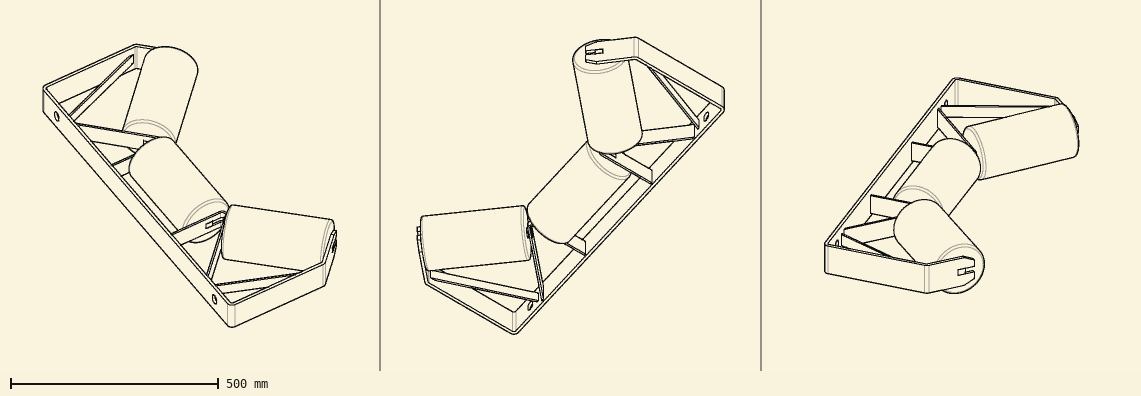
import cadquery as cq
import math

FRAME_LENGTH = 860.0
FRAME_HEIGHT = 77.0
FRAME_THICKNESS = 8.0
BEND_RADIUS = 14.0
WALL_CORNER_Y = 269.0
END_PLATE_LENGTH = 125.0
TIP_CHAMFER_LENGTH = 27.0
TIP_CHAMFER_HEIGHT = 13.0

MOUNT_SLOT_X = 358.0
MOUNT_SLOT_WIDTH = 18.0
MOUNT_SLOT_HEIGHT = 27.0

BAR_THICKNESS = 5.0
BRACKET_HEIGHT = 50.0
BRACKET_TOP_Y = 168.5
BRACKET_LEG_X = 132.5
BRACKET_FOOT_X = 310.5
BRACKET_BEND_RADIUS = 14.0
STRUT_HEIGHT = 30.0
STRUT_WALL_Y = 259.0
STRUT_FOOT_X = 324.0

ROLLER_DIAMETER = 133.0
ROLLER_LENGTH = 251.0
ROLLER_EDGE_RADIUS = 5.0
SHAFT_DIAMETER = 20.0
SHAFT_LENGTH = 273.5
NECK_LENGTH = 258.0
TONGUE_WIDTH = 19.0
TONGUE_HEIGHT = 15.5
MIDDLE_ROLLER_Y = 124.3
MIDDLE_ROLLER_Z = -6.4
SIDE_ROLLER_X = 267.9
SIDE_ROLLER_Y = 236.9
SIDE_ROLLER_SLOPE = 1.45
TROUGH_ANGLE = 45.0

HALF_LENGTH = FRAME_LENGTH / 2
SIDE_ROLLER_Z = MIDDLE_ROLLER_Z / 2
SLOT_DEPTH = 86.0
SLOT_OVERCUT = 3.5

def roller_seat(center, across, slope):
    """Plane square to a roller axis that leans from X by two angles; local -Y points to the slot mouth."""
    across = math.radians(across)
    slope = math.radians(slope)
    up = (-math.sin(slope) * math.cos(across), -math.sin(slope) * math.sin(across), math.cos(slope))
    axis = (math.cos(slope) * math.cos(across), math.cos(slope) * math.sin(across), math.sin(slope))
    return cq.Plane(origin=center, xDir=up, normal=axis)


MIDDLE_SEAT = roller_seat((0, MIDDLE_ROLLER_Y, MIDDLE_ROLLER_Z), 0, 0)
SIDE_SEAT = roller_seat((SIDE_ROLLER_X, SIDE_ROLLER_Y, SIDE_ROLLER_Z), TROUGH_ANGLE, SIDE_ROLLER_SLOPE)


def both_sides(shape):
    return shape.union(shape.mirror("YZ"))


def bar_prism(points, height, middle_z):
    outline = cq.Workplane("XY").workplane(offset=middle_z - height / 2)
    return outline.polyline(points).close().extrude(height)


def corner_edges(shape, x, y):
    """Upright edge of a bar that passes through the point (x, y)."""
    reach = 0.4
    box = cq.selectors.BoxSelector((x - reach, y - reach, -FRAME_HEIGHT), (x + reach, y + reach, FRAME_HEIGHT))
    return shape.edges("|Z").edges(box)


def round_bend(shape, outer, inner, outer_radius, thickness):
    shape = corner_edges(shape, *outer).fillet(outer_radius)
    return corner_edges(shape, *inner).fillet(outer_radius - thickness)


def frame_half():
    """Right half of the bent outer bar."""
    t = FRAME_THICKNESS
    angle = math.radians(TROUGH_ANGLE)
    along = (-math.cos(angle), math.sin(angle))
    wall_inner_y = WALL_CORNER_Y - t * math.tan(angle / 2)
    tip = (HALF_LENGTH + along[0] * END_PLATE_LENGTH, WALL_CORNER_Y + along[1] * END_PLATE_LENGTH)
    tip_inner = (tip[0] - t * math.sin(angle), tip[1] - t * math.cos(angle))
    base_outer = (HALF_LENGTH, 0)
    base_inner = (HALF_LENGTH - t, t)
    wall_outer = (HALF_LENGTH, WALL_CORNER_Y)
    wall_inner = (HALF_LENGTH - t, wall_inner_y)
    points = [(0, 0), base_outer, wall_outer, tip, tip_inner, wall_inner, base_inner, (0, t)]
    half = bar_prism(points, FRAME_HEIGHT, 0)
    half = round_bend(half, base_outer, base_inner, BEND_RADIUS, t)
    half = round_bend(half, wall_outer, wall_inner, BEND_RADIUS, t)
    return half.cut(tip_chamfers(tip))


def tip_chamfers(tip):
    """Wedges that cut off the upper and lower corners of the end plate."""
    angle = math.radians(TROUGH_ANGLE)
    plate = cq.Plane(
        origin=(tip[0], tip[1], 0),
        xDir=(-math.cos(angle), math.sin(angle), 0),
        normal=(-math.sin(angle), -math.cos(angle), 0),
    )
    top = FRAME_HEIGHT / 2
    wedges = cq.Workplane(plate)
    for edge in (top, -top):
        shoulder = math.copysign(top - TIP_CHAMFER_HEIGHT, edge)
        wedges = wedges.polyline([(-TIP_CHAMFER_LENGTH, edge), (0, edge), (0, shoulder)]).close()
    return wedges.extrude(2 * FRAME_THICKNESS, both=True)


def bracket():
    """Right bracket: upright leg, short flat top and slanted leg down to the base bar."""
    t = BAR_THICKNESS
    foot_y = FRAME_THICKNESS
    half_turn = math.tan(math.radians(TROUGH_ANGLE) / 2)
    slant_x = BRACKET_FOOT_X - (BRACKET_TOP_Y - foot_y)
    slant_run = t / math.sin(math.radians(TROUGH_ANGLE))
    crest = (BRACKET_LEG_X, BRACKET_TOP_Y)
    crest_inner = (BRACKET_LEG_X + t, BRACKET_TOP_Y - t)
    points = [
        (BRACKET_LEG_X, foot_y),
        crest,
        (slant_x, BRACKET_TOP_Y),
        (BRACKET_FOOT_X, foot_y),
        (BRACKET_FOOT_X - slant_run, foot_y),
        (slant_x - t * half_turn, BRACKET_TOP_Y - t),
        crest_inner,
        (BRACKET_LEG_X + t, foot_y),
    ]
    bar = bar_prism(points, BRACKET_HEIGHT, MIDDLE_ROLLER_Z)
    return round_bend(bar, crest, crest_inner, BRACKET_BEND_RADIUS, t)


def strut():
    """Right diagonal strut between side wall and base bar."""
    wall_x = HALF_LENGTH - FRAME_THICKNESS
    foot_y = FRAME_THICKNESS
    lean = math.atan2(wall_x - STRUT_FOOT_X, STRUT_WALL_Y - foot_y)
    points = [
        (wall_x, STRUT_WALL_Y),
        (STRUT_FOOT_X, foot_y),
        (STRUT_FOOT_X + BAR_THICKNESS / math.cos(lean), foot_y),
        (wall_x, STRUT_WALL_Y - BAR_THICKNESS / math.sin(lean)),
    ]
    return bar_prism(points, STRUT_HEIGHT, 0)


def shaft_slot(seat):
    """Open-ended slot that takes both tongues of the roller in this seat."""
    half_length = SHAFT_LENGTH / 2 + SLOT_OVERCUT
    slot = cq.Workplane(seat).center(0, (TONGUE_WIDTH - SLOT_DEPTH) / 2)
    return slot.rect(TONGUE_HEIGHT, SLOT_DEPTH).extrude(half_length, both=True)


def mount_slots():
    slots = cq.Workplane("XZ").pushPoints([(MOUNT_SLOT_X, 0), (-MOUNT_SLOT_X, 0)])
    return slots.slot2D(MOUNT_SLOT_HEIGHT, MOUNT_SLOT_WIDTH, 90).extrude(FRAME_THICKNESS * 2, both=True)


def make_frame():
    bent_bar = both_sides(frame_half())
    brackets = both_sides(bracket())
    side_slot = shaft_slot(SIDE_SEAT)
    bent_bar = bent_bar.cut(both_sides(side_slot)).cut(mount_slots())
    brackets = brackets.cut(both_sides(side_slot)).cut(shaft_slot(MIDDLE_SEAT))
    return bent_bar.union(brackets).union(both_sides(strut()))


def seat_cylinder(seat, diameter, length):
    start = cq.Workplane(seat).workplane(offset=-length / 2)
    return start.circle(diameter / 2).extrude(length)


def make_roller(seat):
    """Roller drum with a round shaft that ends in a flat tongue on each side."""
    drum = seat_cylinder(seat, ROLLER_DIAMETER, ROLLER_LENGTH)
    drum = drum.edges("%CIRCLE").fillet(ROLLER_EDGE_RADIUS)
    neck = seat_cylinder(seat, SHAFT_DIAMETER, NECK_LENGTH)
    tongue = cq.Workplane(seat).rect(TONGUE_HEIGHT, TONGUE_WIDTH).extrude(SHAFT_LENGTH / 2, both=True)
    return drum.union(neck).union(tongue)


frame = make_frame()
middle_roller = make_roller(MIDDLE_SEAT)
right_roller = make_roller(SIDE_SEAT)
left_roller = right_roller.mirror("YZ")
rollers = [left_roller, middle_roller, right_roller]

result = cq.Compound.makeCompound([frame.val(), *[roller.val() for roller in rollers]])